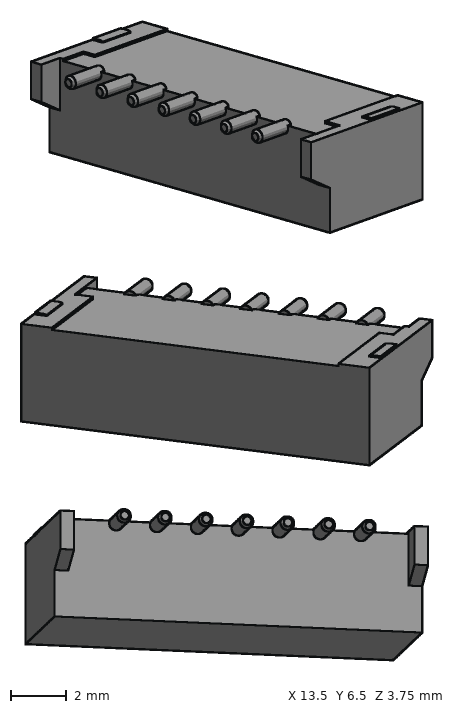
import cadquery as cq

width = 13.5
housing_depth = 5.0
housing_height = 3.6

rim_top = 3.69
rim_width = 1.2
rim_left_narrow_width = 0.66
rim_wide_length = 3.9

ear_thickness = 0.5
rim_right_narrow_width = ear_thickness
ear_reach = 1.0
ear_front_bottom = 2.27
ear_root_bottom = 1.7

overall_height = 3.75
pad_inset = 0.04
pad_width = 0.46
pad_flat_width = 0.3
pad_round_drop = 0.04
pad_length = 1.5
pad_rear_offset = 1.2

pin_count = 7
pin_pitch = 1.5
pin_diameter = 0.5
pin_length = 1.67
pin_tip_length = 0.12
pin_tip_inset = 0.1
overall_depth = 6.5

half_width = width / 2
rear_y = overall_depth / 2
front_y = rear_y - housing_depth
ear_y = front_y - ear_reach
pin_tip_y = rear_y - overall_depth


def make_housing():
    return cq.Workplane("XY", origin=(0, front_y, 0)).box(
        width, housing_depth, housing_height, centered=(True, False, False)
    )


def make_left_rim(narrow_width):
    """Thin strip along the left end, stepping in to narrow_width near the pin face."""
    step_y = rear_y - rim_wide_length
    return (
        cq.Workplane("XY", origin=(-half_width, 0, housing_height))
        .moveTo(0, rear_y)
        .lineTo(rim_width, rear_y)
        .lineTo(rim_width, step_y)
        .lineTo(narrow_width, step_y)
        .lineTo(narrow_width, front_y)
        .lineTo(0, front_y)
        .close()
        .extrude(rim_top - housing_height)
    )


def make_left_ear():
    """End wall extension with a sloped underside."""
    return (
        cq.Workplane("YZ", origin=(-half_width, 0, 0))
        .moveTo(front_y, ear_root_bottom)
        .lineTo(ear_y, ear_front_bottom)
        .lineTo(ear_y, rim_top)
        .lineTo(front_y, rim_top)
        .close()
        .extrude(ear_thickness)
    )


def make_left_pad():
    """Low pad whose inner long side rounds over before a short drop to the rim."""
    return (
        cq.Workplane("XZ", origin=(pad_inset - half_width, rear_y - pad_rear_offset, 0))
        .moveTo(0, rim_top)
        .lineTo(0, overall_height)
        .lineTo(pad_flat_width, overall_height)
        .tangentArcPoint((pad_width, overall_height - pad_round_drop), relative=False)
        .lineTo(pad_width, rim_top)
        .close()
        .extrude(pad_length)
    )


def make_pin(x):
    """Round pin with its inner end partly sunk into the housing top, and a tapered tip."""
    center_z = overall_height - pin_diameter / 2
    return (
        cq.Workplane("XZ", origin=(x, pin_tip_y + pin_length, center_z))
        .circle(pin_diameter / 2)
        .extrude(pin_length)
        .faces("<Y")
        .chamfer(pin_tip_length, pin_tip_inset)
    )


def make_left_end(rim_narrow_width):
    return make_left_rim(rim_narrow_width).union(make_left_ear()).union(make_left_pad())


left_end = make_left_end(rim_left_narrow_width)
right_end = make_left_end(rim_right_narrow_width).mirror("YZ")
result = make_housing().union(left_end).union(right_end)

first_pin_x = -pin_pitch * (pin_count - 1) / 2
for i in range(pin_count):
    result = result.union(make_pin(first_pin_x + i * pin_pitch))